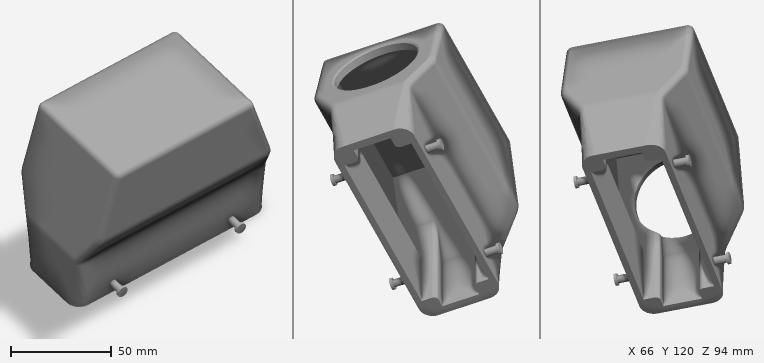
import cadquery as cq
import math

LENGTH = 120.0
HEIGHT = 94.0
NECK_WIDTH = 43.0
HEAD_WIDTH = 66.0

FLARE_ANGLE = 30.0
FLARE_START = 32.2
FLARE_RADIUS = 10.0
NECK_RADIUS = 7.0

END_ANGLE = 16.0
END_START = 34.5
END_RADIUS = 15.0

EDGE_RADIUS = 3.2
FOOT_RADIUS = 7.5
FOOT_TAPER_RADIUS = 7.0
FOOT_TAPER_Z = 9.0

SIDE_WALL = 3.3
END_WALL = 4.5
ROOF_WALL = 3.3
POST_GAP = 20.0
POST_FACE_Y = 48.3
POST_EDGE_RADIUS = 2.5

ENTRY_DIAMETER = 45.0
ENTRY_Y = 51.2
ENTRY_DEPTH = 20.0
ENTRY_CHAMFER = 1.0
ENTRY_CHAMFER_DEPTH = 0.58

PIN_SPACING = 74.0
PIN_Z = 6.2
PIN_DIAMETER = 4.0
PIN_HEAD_DIAMETER = 6.0
PIN_HEAD_THICKNESS = 1.5
PIN_SPAN = 59.5
PIN_EMBED = 1.0

flare_tan = math.tan(math.radians(FLARE_ANGLE))
end_sin = math.sin(math.radians(END_ANGLE))
end_cos = math.cos(math.radians(END_ANGLE))
end_tan = end_sin / end_cos
foot_taper_top = FLARE_START - NECK_RADIUS * math.tan(math.radians(FLARE_ANGLE / 2))


def symmetric_prism(plane, half_outline, depth):
    """Mirror a half outline about the vertical axis and extrude it evenly to both sides."""
    mirrored = [(-across, up) for across, up in reversed(half_outline)]
    return cq.Workplane(plane).polyline(half_outline + mirrored).close().extrude(depth / 2, both=True)


def hood_block(side_inset, end_inset, top):
    """Sharp-edged hood shape whose walls lie inside the outer faces by the given insets."""
    neck = NECK_WIDTH / 2 - side_inset
    head = HEAD_WIDTH / 2 - side_inset
    flare_start = FLARE_START + side_inset * math.tan(math.radians(FLARE_ANGLE / 2))
    flare_end = flare_start + (head - neck) / flare_tan
    side = symmetric_prism("XZ", [(neck, 0), (neck, flare_start), (head, flare_end), (head, top)], LENGTH)

    end = LENGTH / 2 - end_inset
    lean_start = END_START - end_inset * math.tan(math.radians(END_ANGLE / 2))
    end_top = end - (top - lean_start) * end_tan
    ends = symmetric_prism("YZ", [(end, 0), (end, lean_start), (end_top, top)], HEAD_WIDTH)
    return side.intersect(ends)


def level_edges(body, direction, low, high):
    """Edges along the given direction whose centre height lies strictly between two levels."""
    return body.edges(direction).filter(lambda edge: low < edge.Center().z < high)


def corner_edges(body):
    """The chains of edges that climb the four corners of the hood."""
    return body.edges("not(#Z)").filter(is_at_corner)


def is_at_corner(edge):
    centre = edge.Center()
    return abs(centre.x) > NECK_WIDTH / 4 and abs(centre.y) > LENGTH / 4


def rounded_hood():
    body = hood_block(0, 0, HEIGHT)
    flare_middle = FLARE_START + (HEAD_WIDTH - NECK_WIDTH) / 4 / flare_tan
    body = level_edges(body, "|Y", flare_middle, HEIGHT).fillet(FLARE_RADIUS)
    body = level_edges(body, "|Y", 0, flare_middle).fillet(NECK_RADIUS)
    body = level_edges(body, "|X", 0, HEIGHT).fillet(END_RADIUS)
    return corner_edges(body).add(body.faces(">Z").edges()).fillet(EDGE_RADIUS)


def foot_section(z, radius):
    """Rounded rectangle of the neck at one height."""
    sketch = cq.Sketch().rect(NECK_WIDTH, LENGTH).vertices().fillet(radius)
    return sketch.moved(cq.Location(cq.Vector(0, 0, z)))


def foot_envelope():
    """Skirt whose corners grow rounder towards the open rim, with free space above it."""
    skirt = cq.Workplane("XY").placeSketch(
        foot_section(0, FOOT_RADIUS),
        foot_section(FOOT_TAPER_Z, FOOT_TAPER_RADIUS),
        foot_section(foot_taper_top, EDGE_RADIUS),
    ).loft()
    above = cq.Workplane("XY", origin=(0, 0, foot_taper_top)).rect(2 * HEAD_WIDTH, 2 * LENGTH).extrude(HEIGHT)
    return skirt.union(above)


def corner_posts():
    """Upright posts left standing in the corners of the hollow, rounded on their inner edge."""
    posts = cq.Workplane("XY")
    width = (HEAD_WIDTH - POST_GAP) / 2
    depth = LENGTH / 2 - POST_FACE_Y
    for side in (-1, 1):
        for end in (-1, 1):
            x = side * (POST_GAP + width) / 2
            y = end * (POST_FACE_Y + depth / 2)
            post = cq.Workplane("XY").center(x, y).rect(width, depth).extrude(HEIGHT)
            edge_middle = (side * POST_GAP / 2, end * POST_FACE_Y, HEIGHT / 2)
            inner_edge = post.edges(cq.NearestToPointSelector(edge_middle))
            posts = posts.add(inner_edge.fillet(POST_EDGE_RADIUS))
    return posts.combine()


def cavity():
    return hood_block(SIDE_WALL, END_WALL, HEIGHT - ROOF_WALL).cut(corner_posts())


def cable_entry():
    """Chamfered round opening square to the leaning +Y end face."""
    z = END_START + (LENGTH / 2 - ENTRY_Y) / end_tan
    face = cq.Plane(origin=(0, ENTRY_Y, z), xDir=(1, 0, 0), normal=(0, -end_cos, -end_sin))
    bore = cq.Workplane(face).circle(ENTRY_DIAMETER / 2).extrude(ENTRY_DEPTH)
    mouth = (
        cq.Workplane(face)
        .circle(ENTRY_DIAMETER / 2 + ENTRY_CHAMFER)
        .workplane(offset=ENTRY_CHAMFER_DEPTH)
        .circle(ENTRY_DIAMETER / 2)
        .loft()
    )
    return bore.union(mouth)


def locking_pins():
    """Two headed pins on each long side of the neck."""
    pins = cq.Workplane("XY")
    start = NECK_WIDTH / 2 - PIN_EMBED
    end = PIN_SPAN / 2
    for side in (-1, 1):
        for y in (-PIN_SPACING / 2, PIN_SPACING / 2):
            wall = cq.Plane(origin=(side * start, y, PIN_Z), xDir=(0, 1, 0), normal=(side, 0, 0))
            stem = cq.Workplane(wall).circle(PIN_DIAMETER / 2).extrude(end - start)
            head = (
                cq.Workplane(wall)
                .workplane(offset=end - start - PIN_HEAD_THICKNESS)
                .circle(PIN_HEAD_DIAMETER / 2)
                .extrude(PIN_HEAD_THICKNESS)
            )
            pins = pins.add(stem.union(head))
    return pins.combine()


hood = rounded_hood().intersect(foot_envelope())
result = hood.cut(cavity()).cut(cable_entry()).union(locking_pins())